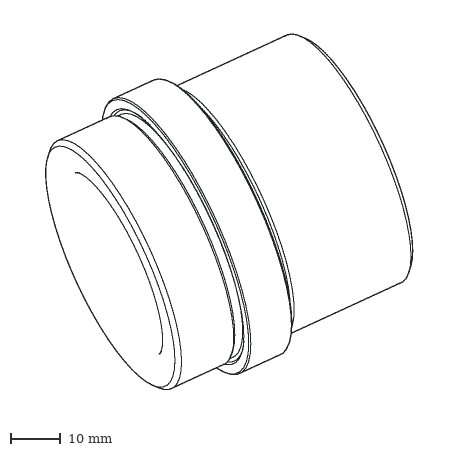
import cadquery as cq

length = 55.0
flange_radius = 30.5
body_radius = 27.5
bore_radius = 20.0

front_groove_start = 13.05
flange_start = 15.0
flange_end = 25.0
rear_groove_end = 27.0

groove_depth = 0.55
undercut_radius = 28.2
undercut_depth = 0.4
end_chamfer = 1.0
flange_chamfer = 0.3
bore_rounding = 2.0

groove_radius = body_radius - groove_depth


def make_sleeve():
    """Revolve the outer half-section, with grooves beside the flange and a recess in its front face."""
    section = [
        (0, 0),
        (body_radius - end_chamfer, 0),
        (body_radius, end_chamfer),
        (body_radius, front_groove_start),
        (groove_radius, front_groove_start + groove_depth),
        (groove_radius, flange_start + undercut_depth),
        (undercut_radius - undercut_depth, flange_start + undercut_depth),
        (undercut_radius, flange_start),
        (flange_radius - flange_chamfer, flange_start),
        (flange_radius, flange_start + flange_chamfer),
        (flange_radius, flange_end - flange_chamfer),
        (flange_radius - flange_chamfer, flange_end),
        (groove_radius, flange_end),
        (groove_radius, rear_groove_end - groove_depth),
        (body_radius, rear_groove_end),
        (body_radius, length - end_chamfer),
        (body_radius - end_chamfer, length),
        (0, length),
    ]
    profile = cq.Workplane("XY").polyline(section).close()
    sleeve = profile.revolve(360, (0, 0, 0), (0, 1, 0))
    return sleeve.translate((0, -length / 2, 0))


def cut_bore(sleeve):
    """Cut the through bore and round its mouth at both ends."""
    bore = cq.Workplane("XZ").circle(bore_radius).extrude(length / 2, both=True)
    bored = sleeve.cut(bore)
    mouths = bored.faces("<Y or >Y").edges(cq.selectors.RadiusNthSelector(0))
    return mouths.fillet(bore_rounding)


result = cut_bore(make_sleeve())